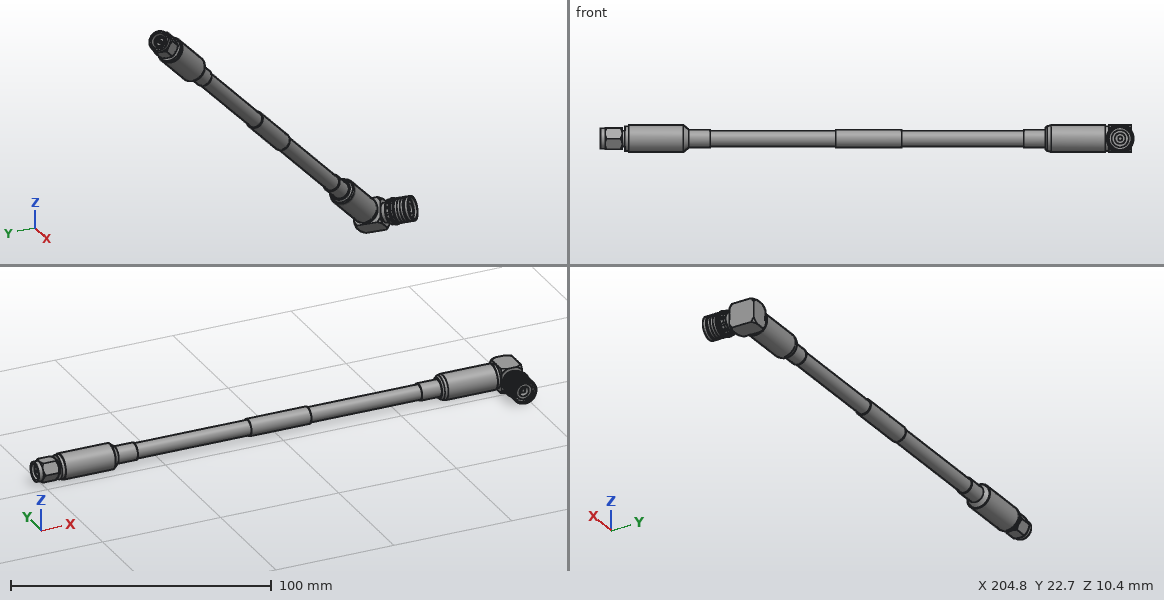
import cadquery as cq
import math


TOTAL_LENGTH = 204.8
TOTAL_WIDTH = 22.7

BARREL_RADIUS = 5.22
PLUG_BODY_RADIUS = 4.81
TAIL_LENGTH = 8.2
STRAIGHT_BARREL_START = 10.9
STRAIGHT_TAPER_START = 32.0
STRAIGHT_TAPER_END = 34.0
ANGLE_TAIL_END = 170.8
ANGLE_TAPER_RADIUS = 4.0
ANGLE_SHOULDER_X = 171.5
ANGLE_SHOULDER_RADIUS = 4.81
ANGLE_TAPER_END = 173.0
ANGLE_BARREL_END = 194.0

CABLE_RADIUS = 3.0
TUBE_RADIUS = 3.5
LABEL_START = 90.3
LABEL_LENGTH = 25.4

NUT_LENGTH = 8.4
NUT_FLATS = 8.2
NUT_CHAMFER = 0.6
NUT_RIM_RADIUS = 4.0
NUT_RIM_LENGTH = 1.8
NUT_BORE_RADIUS = 3.17
NUT_BORE_DEPTH = 6.8

SPIGOT_RADIUS = 2.3
SPIGOT_SHELL_RADIUS = 1.8
SPIGOT_START = 0.8
SPIGOT_MOUTH_DEPTH = 1.2
CENTRE_PIN_RADIUS = 0.51
CENTRE_PIN_START = 0.5
PLUG_BODY_START = 9.5
PLUG_NECK_RADIUS = 3.0

BLOCK_LENGTH = 8.5
BLOCK_WIDTH = 11.0
BLOCK_CORNER_CHAMFER = 1.2

COUPLING_RADIUS = 5.0
COUPLING_LENGTH = 9.8
COUPLING_CHAMFER = 0.6
COUPLING_NECK_RADIUS = 3.9
RING_RADIUS = BARREL_RADIUS
RING_START = 7.2
RING_LENGTH = 0.6
GROOVE_DEPTH = 0.2
GROOVE_SPANS = ((1.5, 2.0), (3.3, 4.5), (5.7, 6.3))
FLUTE_COUNT = 12
FLUTE_WIDTH = 0.8
FLUTE_DEPTH = 0.5
COUPLING_BORE_RADIUS = 4.3
COUPLING_BORE_DEPTH = 5.1
CONTACT_RADIUS = 3.3
CONTACT_MOUTH_RADIUS = 2.0
CONTACT_START = 0.8
CONTACT_MOUTH_DEPTH = 3.0
SOCKET_PIN_RADIUS = 0.8
SOCKET_PIN_START = 1.5

COUPLING_X = TOTAL_LENGTH - RING_RADIUS
BLOCK_START = COUPLING_X - BLOCK_LENGTH / 2
BLOCK_FACE = TOTAL_WIDTH - BLOCK_WIDTH
OPEN_END_Y = BARREL_RADIUS - TOTAL_WIDTH


def rod(start, end, radius):
    """Round bar on the X axis."""
    return cq.Workplane("YZ", origin=(start, 0, 0)).circle(radius).extrude(end - start)


def turned(*profile):
    """Solid of revolution around the X axis through (x, radius) points, flat at both ends."""
    outline = [(profile[0][0], 0), *profile, (profile[-1][0], 0)]
    return cq.Workplane("XY").polyline(outline).close().revolve(360, (0, 0, 0), (1, 0, 0))


def make_label():
    outer = rod(LABEL_START, LABEL_START + LABEL_LENGTH, TUBE_RADIUS)
    return outer.cut(rod(LABEL_START, LABEL_START + LABEL_LENGTH, CABLE_RADIUS))


def coupling_rod(start, end, radius):
    """Round bar on the coupling axis, placed by distance from the open end."""
    plane = cq.Plane(origin=(COUPLING_X, OPEN_END_Y + start, 0), xDir=(1, 0, 0), normal=(0, 1, 0))
    return cq.Workplane(plane).circle(radius).extrude(end - start)


def make_sleeve(outline, body_start, body_end):
    """Shrink sleeve with the given outline, hollow for the plug body and for the cable."""
    sleeve = turned(*outline)
    sleeve = sleeve.cut(rod(body_start, body_end, PLUG_BODY_RADIUS))
    return sleeve.cut(rod(outline[0][0], outline[-1][0], CABLE_RADIUS))


def make_straight_sleeve():
    tail_end = STRAIGHT_TAPER_END + TAIL_LENGTH
    outline = [
        (STRAIGHT_BARREL_START, BARREL_RADIUS),
        (STRAIGHT_TAPER_START, BARREL_RADIUS),
        (STRAIGHT_TAPER_END, TUBE_RADIUS),
        (tail_end, TUBE_RADIUS),
    ]
    return make_sleeve(outline, STRAIGHT_BARREL_START, STRAIGHT_TAPER_START)


def make_angle_sleeve():
    tail_start = ANGLE_TAIL_END - TAIL_LENGTH
    outline = [
        (tail_start, TUBE_RADIUS),
        (ANGLE_TAIL_END, TUBE_RADIUS),
        (ANGLE_TAIL_END, ANGLE_TAPER_RADIUS),
        (ANGLE_SHOULDER_X, ANGLE_SHOULDER_RADIUS),
        (ANGLE_TAPER_END, BARREL_RADIUS),
        (ANGLE_BARREL_END, BARREL_RADIUS),
    ]
    return make_sleeve(outline, ANGLE_TAPER_END, ANGLE_BARREL_END)


def make_nut():
    hexagon_diameter = NUT_FLATS / math.cos(math.pi / 6)
    hexagon = (
        cq.Workplane("YZ", origin=(NUT_RIM_LENGTH, 0, 0))
        .polygon(6, hexagon_diameter)
        .extrude(NUT_LENGTH - NUT_RIM_LENGTH)
    )
    corner_turning = rod(NUT_RIM_LENGTH, NUT_LENGTH, hexagon_diameter / 2)
    corner_turning = corner_turning.edges().chamfer(NUT_CHAMFER)
    rim = rod(0, NUT_RIM_LENGTH, NUT_RIM_RADIUS)
    nut = hexagon.intersect(corner_turning).union(rim)
    nut = nut.cut(rod(0, NUT_BORE_DEPTH, NUT_BORE_RADIUS))
    return nut.cut(rod(NUT_BORE_DEPTH, NUT_LENGTH, SPIGOT_RADIUS))


def make_straight_plug():
    body = rod(PLUG_BODY_START, STRAIGHT_TAPER_START, PLUG_BODY_RADIUS)
    neck = rod(NUT_LENGTH, PLUG_BODY_START, PLUG_NECK_RADIUS)
    mouth_floor = SPIGOT_START + SPIGOT_MOUTH_DEPTH
    spigot = rod(SPIGOT_START, NUT_LENGTH, SPIGOT_RADIUS)
    spigot = spigot.cut(rod(SPIGOT_START, mouth_floor, SPIGOT_SHELL_RADIUS))
    pin = rod(CENTRE_PIN_START, mouth_floor, CENTRE_PIN_RADIUS)
    return body.union(neck).union(spigot).union(pin)


def make_elbow():
    body = rod(ANGLE_TAPER_END, BLOCK_START, PLUG_BODY_RADIUS)
    block = cq.Workplane("XY").box(BLOCK_LENGTH, BLOCK_WIDTH, 2 * BARREL_RADIUS)
    block = block.translate((COUPLING_X, BARREL_RADIUS - BLOCK_WIDTH / 2, 0))
    corner_radius = math.hypot(BLOCK_LENGTH / 2, BARREL_RADIUS)
    corner_turning = coupling_rod(BLOCK_FACE, TOTAL_WIDTH, corner_radius)
    block = block.intersect(corner_turning.edges().chamfer(BLOCK_CORNER_CHAMFER))
    return body.union(block)


def make_flutes():
    """Cutters for the lengthwise flutes behind the ring of the coupling."""
    start = RING_START + RING_LENGTH
    length = COUPLING_LENGTH - start
    cutter = cq.Workplane("XY").box(FLUTE_WIDTH, length, 2 * FLUTE_DEPTH)
    cutter = cutter.translate((COUPLING_X, OPEN_END_Y + start + length / 2, COUPLING_RADIUS))
    axis_start = (COUPLING_X, 0, 0)
    axis_end = (COUPLING_X, 1, 0)
    return [cutter.rotate(axis_start, axis_end, i * 360 / FLUTE_COUNT) for i in range(FLUTE_COUNT)]


def make_coupling():
    """Snap coupling with its rear ring, outer grooves and inner contacts."""
    shell = coupling_rod(0, COUPLING_LENGTH, COUPLING_RADIUS)
    shell = shell.faces(">Y").edges().chamfer(COUPLING_CHAMFER)
    shell = shell.union(coupling_rod(RING_START, RING_START + RING_LENGTH, RING_RADIUS))
    for start, end in GROOVE_SPANS:
        core = coupling_rod(start, end, COUPLING_RADIUS - GROOVE_DEPTH)
        shell = shell.cut(coupling_rod(start, end, COUPLING_RADIUS).cut(core))
    for flute in make_flutes():
        shell = shell.cut(flute)
    shell = shell.cut(coupling_rod(0, COUPLING_BORE_DEPTH, COUPLING_BORE_RADIUS))
    contact_floor = CONTACT_START + CONTACT_MOUTH_DEPTH
    contact = coupling_rod(CONTACT_START, COUPLING_BORE_DEPTH, CONTACT_RADIUS)
    contact = contact.cut(coupling_rod(CONTACT_START, contact_floor, CONTACT_MOUTH_RADIUS))
    pin = coupling_rod(SOCKET_PIN_START, contact_floor, SOCKET_PIN_RADIUS)
    neck = coupling_rod(COUPLING_LENGTH, BLOCK_FACE, COUPLING_NECK_RADIUS)
    return shell.union(contact).union(pin).union(neck)


nut = make_nut()
straight_plug = make_straight_plug()
angle_plug = make_elbow().union(make_coupling())
cable = rod(STRAIGHT_TAPER_START, ANGLE_TAPER_END, CABLE_RADIUS)
label = make_label()
straight_sleeve = make_straight_sleeve()
angle_sleeve = make_angle_sleeve()

result = cq.Compound.makeCompound(
    [
        nut.val(),
        straight_plug.val(),
        angle_plug.val(),
        cable.val(),
        label.val(),
        straight_sleeve.val(),
        angle_sleeve.val(),
    ]
)